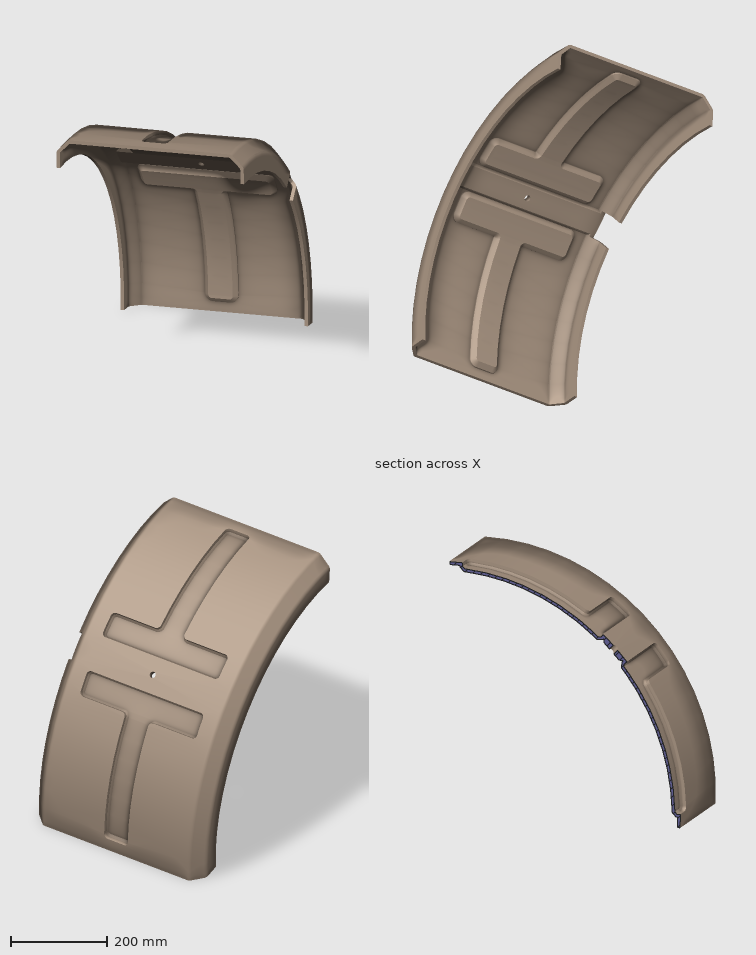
import cadquery as cq
import math


length = 529.0
start_angle = -2.9
end_angle = 95.0
middle_angle = (start_angle + end_angle) / 2
outer_radius = length / (1 - math.cos(math.radians(end_angle)))

width = 406.5
thickness = 7.5
side_depth = 64.0
shoulder_width = 26.5
shoulder_drop = 27.0
crown_bend_radius = 11.0
flange_bend_radius = 12.5

emboss_depth = 12.5
crossbar_half_length = 141.0
crossbar_near_angle = 4.5
crossbar_far_angle = 11.1
stem_half_width = 28.5
stem_end_angle = 45.4
corner_radius = 9.5
pocket_chamfer = 4.0
bump_chamfer = 9.5

stiffener_height = 6.5
stiffener_face_width = 48.0
hole_diameter = 13.0

notch_width = 60.0

flange_foot_radius = outer_radius - side_depth
inner_radius = outer_radius - thickness
stiffener_face_radius = inner_radius - stiffener_height
clearance = 26.5


def turn_about_x(shape, angle):
    return shape.rotate((0, 0, 0), (1, 0, 0), angle)


def revolve_between(section, first_angle, last_angle):
    """Revolve an (x, radius) section about the X axis between two angles."""
    solid = section.revolve(last_angle - first_angle, (0, 0, 0), (1, 0, 0))
    return turn_about_x(solid, first_angle)


def channel(inset, foot_radius):
    """Swept solid bounded by the outer surface moved inwards by inset."""
    slope = math.atan2(shoulder_drop, shoulder_width)
    side_x = width / 2 - inset
    crown_x = width / 2 - shoulder_width - inset * math.tan(slope / 2)
    crown_radius = outer_radius - inset
    flange_radius = outer_radius - shoulder_drop - inset * math.tan(math.pi / 4 - slope / 2)
    right = [(side_x, foot_radius), (side_x, flange_radius), (crown_x, crown_radius)]
    left = [(-x, radius) for x, radius in reversed(right)]
    section = (
        cq.Sketch()
        .polygon(right + left + right[:1])
        .vertices("not (<Y or >Y)")
        .fillet(flange_bend_radius - inset)
        .reset()
        .vertices(">Y")
        .fillet(crown_bend_radius - inset)
        .reset()
    )
    return revolve_between(cq.Workplane("XY").placeSketch(section), start_angle, end_angle)


def curved_block(half_width, low_radius, high_radius, first_angle, last_angle):
    """Block bent about the X axis, symmetric in X."""
    section = [
        (-half_width, low_radius),
        (half_width, low_radius),
        (half_width, high_radius),
        (-half_width, high_radius),
    ]
    return revolve_between(cq.Workplane("XY").polyline(section).close(), first_angle, last_angle)


def tee(growth, top_radius, chamfer):
    """T-shaped plug of the pocket, enlarged by growth on its walls and floor."""
    floor_radius = outer_radius - emboss_depth - growth
    growth_angle = math.degrees(growth / outer_radius)
    near_angle = crossbar_near_angle - growth_angle
    far_angle = crossbar_far_angle + growth_angle
    stem_angle = stem_end_angle + growth_angle
    crossbar = curved_block(crossbar_half_length + growth, floor_radius, top_radius, near_angle, far_angle)
    stem = curved_block(stem_half_width + growth, floor_radius, top_radius, crossbar_near_angle, stem_angle)
    plug = crossbar.union(stem).clean()

    outer_corners = ">X or <X or >Z"
    inner_corners = f"not ({outer_corners})"
    plug = plug.edges("%LINE").edges("not |X").edges(inner_corners).fillet(corner_radius - growth)
    plug = plug.edges("%LINE").edges("not |X").edges(outer_corners).fillet(corner_radius + growth)
    floor_face = cq.selectors.NearestToPointSelector((0, 0, 0))
    return plug.faces(floor_face).edges().chamfer(chamfer)


def mirrored_tees(growth, top_radius, chamfer):
    plug = tee(growth, top_radius, chamfer)
    return turn_about_x(plug.union(plug.mirror("XY")), middle_angle)


def stiffener():
    """Flat bar across the channel, trimmed by its outer surface."""
    face_half = stiffener_face_width / 2
    root_half = face_half + stiffener_height
    embedded_radius = inner_radius + thickness / 2
    profile = [
        (stiffener_face_radius, -face_half),
        (inner_radius, -root_half),
        (embedded_radius, -root_half),
        (embedded_radius, root_half),
        (inner_radius, root_half),
        (stiffener_face_radius, face_half),
    ]
    bar = cq.Workplane("YZ").polyline(profile).close().extrude(width / 2, both=True)
    return turn_about_x(bar, middle_angle)


def flange_notch():
    depth = stiffener_face_radius - flange_foot_radius + clearance
    cutter = cq.Workplane("XY").box(width, depth, notch_width)
    cutter = cutter.translate((width / 2, stiffener_face_radius - depth / 2, 0))
    return turn_about_x(cutter, middle_angle)


def crown_hole():
    drill = cq.Workplane("XZ").circle(hole_diameter / 2).extrude(-(outer_radius + clearance))
    return turn_about_x(drill, middle_angle)


outer_channel = channel(0, flange_foot_radius)
guard = outer_channel.cut(channel(thickness, flange_foot_radius - clearance))
guard = guard.union(mirrored_tees(thickness, outer_radius - thickness / 2, bump_chamfer))
guard = guard.cut(mirrored_tees(0, outer_radius + clearance, pocket_chamfer))
guard = guard.union(stiffener().intersect(outer_channel))
guard = guard.cut(flange_notch())
result = guard.cut(crown_hole())